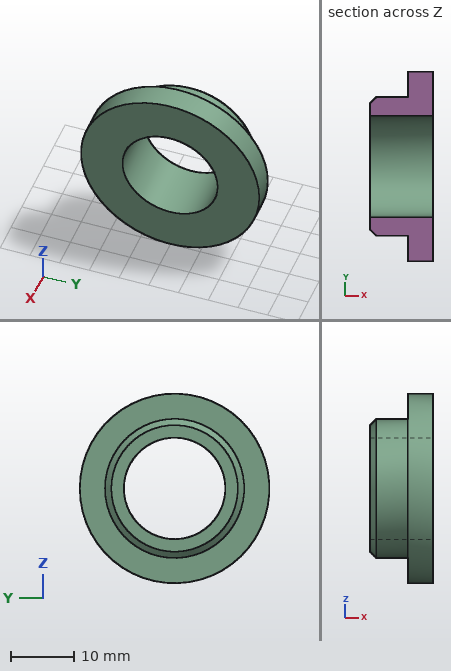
import cadquery as cq

total_length = 10.0
flange_thickness = 4.0
flange_diameter = 30.0
sleeve_diameter = 22.0
bore_diameter = 16.0
lead_in_chamfer = 1.0


def make_sleeve():
    """Full-length cylinder with a chamfered free end."""
    sleeve = cq.Workplane("YZ").circle(sleeve_diameter / 2).extrude(total_length)
    return sleeve.faces("<X").chamfer(lead_in_chamfer)


def make_flange():
    """Disc at the +X end of the sleeve."""
    flange_start = total_length - flange_thickness
    flange_plane = cq.Workplane("YZ", origin=(flange_start, 0, 0))
    return flange_plane.circle(flange_diameter / 2).extrude(flange_thickness)


def make_bore():
    """Cylinder removed along the whole axis."""
    return cq.Workplane("YZ").circle(bore_diameter / 2).extrude(total_length)


result = make_sleeve().union(make_flange()).cut(make_bore())